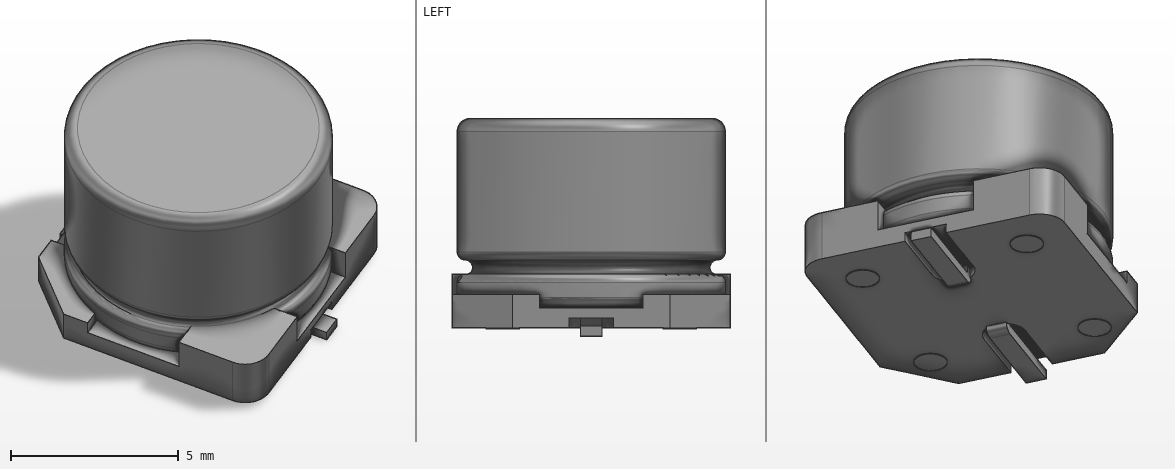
import cadquery as cq

total_height = 6.5
base_bottom = 0.25
base_low_top = 1.25
base_high_top = 1.85
notch_floor = 0.85

base_width = 8.3
chamfer_leg = 1.8
corner_radius = 0.8
notch_width = 3.08

can_radius = 8.0 / 2
can_top_fillet = 0.4
shoulder_fillet = 0.24
groove_depth = 0.22
groove_height = 0.42
waist_height = 2.04
can_bottom_fillet = 0.31

lead_span = 9.0
lead_inner_end = 1.37
lead_width = 0.65
lead_thickness = 0.31
lead_bend_radius = 0.3
lead_inner_bend_radius = 0.04
slot_width = 1.33
slot_roof = 0.55

foot_diameter = 1.0
foot_height = 0.03
foot_offset = 2.65


def centered_box(x_size, y_size, bottom, top):
    """Box centered on the Z axis between two heights."""
    return cq.Workplane("XY", origin=(0, 0, bottom)).rect(x_size, y_size).extrude(top - bottom)


def make_base():
    """Plate with chamfered -X corners, rounded +X corners and a taller +X half."""
    half = base_width / 2
    base = centered_box(base_width, base_width, base_bottom, base_high_top)
    base = base.edges("|Z and <X").chamfer(chamfer_leg)
    base = base.edges("|Z and >X").fillet(corner_radius)

    step = centered_box(base_width, base_width, base_low_top, base_high_top)
    base = base.cut(step.translate((-half, 0, 0)))

    base = base.cut(centered_box(base_width, notch_width, notch_floor, base_high_top))
    return base.cut(centered_box(notch_width, base_width, notch_floor, base_high_top))


def waist_arc_radius(height):
    """Radius of the arc that leaves the waist vertically and spans the groove depth over a height."""
    return (groove_depth**2 + height**2) / (2 * groove_depth)


def make_can():
    """Revolved can with a crimp groove just above the lower bead."""
    bead_top = base_high_top
    rim_radius = can_radius - shoulder_fillet
    waist_radius = rim_radius - groove_depth
    shoulder_bottom = bead_top + groove_height
    lower_arc_radius = waist_arc_radius(waist_height - bead_top)
    upper_arc_radius = waist_arc_radius(shoulder_bottom - waist_height)
    profile = (
        cq.Workplane("XZ")
        .moveTo(0, notch_floor)
        .lineTo(can_radius - can_bottom_fillet, notch_floor)
        .radiusArc((can_radius, notch_floor + can_bottom_fillet), -can_bottom_fillet)
        .lineTo(can_radius, bead_top - shoulder_fillet)
        .radiusArc((rim_radius, bead_top), -shoulder_fillet)
        .radiusArc((waist_radius, waist_height), lower_arc_radius)
        .radiusArc((rim_radius, shoulder_bottom), upper_arc_radius)
        .radiusArc((can_radius, shoulder_bottom + shoulder_fillet), -shoulder_fillet)
        .lineTo(can_radius, total_height - can_top_fillet)
        .radiusArc((can_radius - can_top_fillet, total_height), -can_top_fillet)
        .lineTo(0, total_height)
        .close()
    )
    return profile.revolve(360, (0, 0, 0), (0, 1, 0))


def make_slot():
    """Slot under the base around the -X lead, with a half-round inner end."""
    outer_end = -base_width / 2
    inner_end = -lead_inner_end
    half_width = slot_width / 2
    arc_start = inner_end - half_width
    return (
        cq.Workplane("XY", origin=(0, 0, base_bottom))
        .moveTo(outer_end, -half_width)
        .lineTo(arc_start, -half_width)
        .threePointArc((inner_end, 0), (arc_start, half_width))
        .lineTo(outer_end, half_width)
        .close()
        .extrude(slot_roof - base_bottom)
    )


def make_lead():
    """L-shaped -X lead that runs inward and bends up into the base."""
    outer_end = -lead_span / 2
    inner_end = -lead_inner_end
    riser_face = inner_end - lead_thickness
    profile = (
        cq.Workplane("XZ")
        .moveTo(outer_end, 0)
        .lineTo(inner_end - lead_bend_radius, 0)
        .radiusArc((inner_end, lead_bend_radius), -lead_bend_radius)
        .lineTo(inner_end, slot_roof)
        .lineTo(riser_face, slot_roof)
        .lineTo(riser_face, lead_thickness + lead_inner_bend_radius)
        .radiusArc((riser_face - lead_inner_bend_radius, lead_thickness), lead_inner_bend_radius)
        .lineTo(outer_end, lead_thickness)
        .close()
    )
    return profile.extrude(lead_width / 2, both=True)


def make_feet():
    """Four thin round standoffs under the corners of the base."""
    return (
        cq.Workplane("XY", origin=(0, 0, base_bottom))
        .rect(2 * foot_offset, 2 * foot_offset, forConstruction=True)
        .vertices()
        .circle(foot_diameter / 2)
        .extrude(-foot_height)
    )


slot = make_slot()
lead = make_lead()
base = make_base().cut(slot).cut(slot.mirror("YZ"))
result = base.union(make_can()).union(make_feet()).union(lead).union(lead.mirror("YZ"))